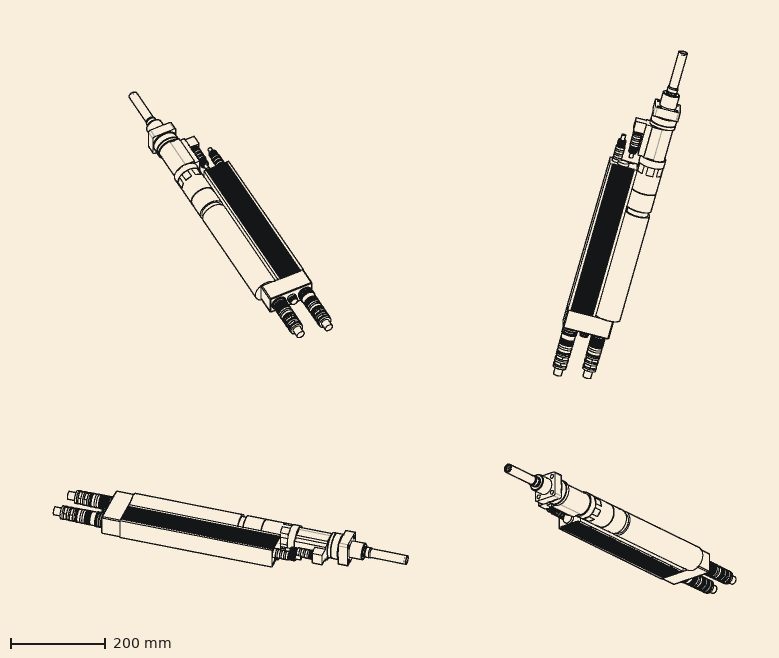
import cadquery as cq
import math


SHAFT_END = 79.0
SHAFT_RING_END = 82.0
SHAFT_COLLAR_END = 90.0
SHAFT_SEAL_END = 91.5
SHAFT_STOP_END = 94.5
FLANGE_START = 123.5
FLANGE_END = 144.0
FRONT_RING_END = 168.0
WAIST_END = 241.5
REAR_RING_END = 257.5
GEARBOX_END = 359.0
NECK_END = 370.0
MOTOR_END = 610.0

SHAFT_DIA = 19.0
SHAFT_RING_DIA = 20.5
SHAFT_COLLAR_DIA = 22.0
SHAFT_SEAL_DIA = 20.5
NOSE_DIA = 36.0
RING_DIA = 55.0
WAIST_DIA = 49.0
MOTOR_DIA = 54.0
NECK_DIA = 46.0
NOSE_CHAMFER = 1.5

SOCKET_SECTIONS = [(4.0, 14.0), (7.5, 5.5)]

SEAM_POSITIONS = [145.5, 161.0, 318.0]
SEAM_WIDTH = 1.0
SEAM_DEPTH = 1.0

FLANGE_SIDE = 55.0
FLANGE_CORNER_RADIUS = 4.5
BOLT_HOLE_DIA = 8.0
BOLT_HOLE_DEPTH = 15.0
BOLT_SPACING = 36.5

FLAT_COUNT = 7
FLAT_LENGTH = 18.0
FLAT_DEPTH = 1.1
FIRST_FLAT_ANGLE = 13.5

PLUG_BOSS_DIA = 20.0
SADDLE_GAP = 1.5
SADDLE_START = FRONT_RING_END + SADDLE_GAP
SADDLE_STEP_Y = 21.0
SADDLE_OUTER_Y = 34.0
SADDLE_LEDGE_Z = 17.5
PLUG_BLOCK_END = 193.5
PLUG_BLOCK_OUTER_Y = 57.0
PLUG_BLOCK_HEIGHT = 25.0
PLUG_BLOCK_CHAMFER = 2.0
SADDLE_PLUG_Y = 46.0
SADDLE_BOSS_SECTIONS = [(2.0, PLUG_BOSS_DIA), (2.0, 18.0), (2.0, PLUG_BOSS_DIA)]

HOUSING_START = 272.0
HOUSING_INNER_Y = MOTOR_DIA / 2
HOUSING_OUTER_Y = 87.5
HOUSING_TAPER = 1.5
HOUSING_HEIGHT = 44.0
GROOVE_COUNT = 16
GROOVE_PITCH = 3.0
GROOVE_WIDTH = 1.5
GROOVE_DEPTH = 3.0
FIRST_GROOVE_Y = 33.5
BOSS_LENGTH = 6.0
COVER_BOSS_DIA = 23.5
COVER_BOSS_Y = 58.0
COVER_BOSS_Z = -7.0
HOUSING_PLUG_Y = 72.0
HOUSING_PLUG_Z = 6.0

BLOCK_END = 651.0
BLOCK_INNER_Y = -13.0
BLOCK_HEIGHT = 44.0
BLOCK_EDGE_CHAMFER = 2.0
BLOCK_END_CHAMFER = 1.5
CAP_Y = 38.0
CAP_SECTIONS = [(4.5, 20.0), (2.0, 17.0), (3.0, 18.0), (3.0, 17.0)]


PLUG_DIA = 19.0
PLUG_GROOVE_DIA = 17.5
PLUG_RIB_COUNT = 3
PLUG_RIB_PITCH = 9.0
PLUG_RIB_LENGTH = 5.0
PLUG_NUT_DIA = 17.0
PLUG_NUT_GROOVE_DIA = 15.0
PLUG_NUT_RING_COUNT = 4
PLUG_NUT_RING_PITCH = 4.0
PLUG_CABLE_DIA = 8.0
PLUG_CABLE_LENGTH = 11.5

CONNECTOR_DIA = 30.0
CONNECTOR_GROOVE_DIA = 28.0
CONNECTOR_HEX = 26.0
CONNECTOR_CABLE_DIA = 17.5
KNURL_RING_LENGTH = 1.5
SLEEVE_SECTIONS = [(5.0, 29.0), (4.5, 30.0), (7.0, 29.0), (1.5, 28.0), (1.5, 30.0), (3.0, 28.0), (4.0, 29.0)]
HEX_COUNT = 2
HEX_LENGTH = 6.0
HEX_TURN = 30
RING_SECTIONS = [(3.0, 29.0), (4.5, 28.0)]

SHORT_CONNECTOR_Y = 7.5
SHORT_CONNECTOR_END = 751.0
SHORT_BASE = [(3.0, 33.0), (4.0, 30.0)]
SHORT_KNURL_COUNT = 7

LONG_CONNECTOR_Y = 69.0
LONG_CONNECTOR_END = 762.0
LONG_BASE = [(3.0, 30.0), (4.0, 32.0), (1.5, 30.0), (4.0, 32.0), (1.5, 30.0), (2.0, 32.0), (11.5, 30.0)]
LONG_KNURL_COUNT = 4


def turned(start, sections, y=0, z=0, direction=1):
    """Stack of (length, diameter) cylinders along X from a starting X."""
    outline = [(start, 0)]
    x = start
    for length, diameter in sections:
        outline.append((x, diameter / 2))
        x += direction * length
        outline.append((x, diameter / 2))
    outline.append((x, 0))
    profile = cq.Workplane("XY").polyline(outline).close()
    return profile.revolve(360, (0, 0, 0), (1, 0, 0)).translate((0, y, z))


def span_box(x_span, y_span, z_span):
    """Box between two limits on each axis."""
    size = [high - low for low, high in (x_span, y_span, z_span)]
    corner = (x_span[0], y_span[0], z_span[0])
    return cq.Workplane("XY").box(*size, centered=False).translate(corner)


def total_length(sections):
    """Length of a stack of (length, diameter) cylinders."""
    return sum(length for length, diameter in sections)


def driver_core():
    """All turned sections of the driver, with the output socket and seams."""
    stations = [
        (SHAFT_END, SHAFT_DIA),
        (SHAFT_RING_END, SHAFT_RING_DIA),
        (SHAFT_COLLAR_END, SHAFT_COLLAR_DIA),
        (SHAFT_SEAL_END, SHAFT_SEAL_DIA),
        (SHAFT_STOP_END, SHAFT_COLLAR_DIA),
        (FLANGE_END, NOSE_DIA),
        (FRONT_RING_END, RING_DIA),
        (WAIST_END, WAIST_DIA),
        (REAR_RING_END, RING_DIA),
        (GEARBOX_END, MOTOR_DIA),
        (NECK_END, NECK_DIA),
        (MOTOR_END, MOTOR_DIA),
    ]
    starts = [0] + [end for end, diameter in stations]
    sections = [(end - start, diameter) for start, (end, diameter) in zip(starts, stations)]
    core = turned(0, sections)
    nose_rim = cq.selectors.BoxSelector(
        (SHAFT_STOP_END - SEAM_WIDTH, -NOSE_DIA, -NOSE_DIA),
        (SHAFT_STOP_END + SEAM_WIDTH, NOSE_DIA, NOSE_DIA),
        boundingbox=True,
    )
    core = core.edges(nose_rim).edges(cq.selectors.RadiusNthSelector(-1)).chamfer(NOSE_CHAMFER)
    core = core.cut(turned(0, SOCKET_SECTIONS))
    for x in SEAM_POSITIONS:
        outer = turned(x, [(SEAM_WIDTH, 2 * RING_DIA)])
        inner = turned(x, [(SEAM_WIDTH, MOTOR_DIA - 2 * SEAM_DEPTH)])
        core = core.cut(outer.cut(inner))
    return core


def flange():
    """Square flange with rounded corners and four bolt holes."""
    return (
        cq.Workplane("YZ", origin=(FLANGE_START, 0, 0))
        .rect(FLANGE_SIDE, FLANGE_SIDE)
        .extrude(FLANGE_END - FLANGE_START)
        .edges("|X")
        .fillet(FLANGE_CORNER_RADIUS)
        .faces("<X")
        .workplane(centerOption="CenterOfBoundBox")
        .rect(BOLT_SPACING, BOLT_SPACING, forConstruction=True)
        .vertices()
        .hole(BOLT_HOLE_DIA, BOLT_HOLE_DEPTH)
    )


def wrench_flats():
    """Material removed by the flats, evenly spaced round the gearbox."""
    radius = MOTOR_DIA / 2
    cutter = span_box(
        (REAR_RING_END, REAR_RING_END + FLAT_LENGTH),
        (-2 * radius, -radius + FLAT_DEPTH),
        (-radius, radius),
    )
    cutters = cq.Workplane("XY")
    for index in range(FLAT_COUNT):
        angle = FIRST_FLAT_ANGLE + index * 360 / FLAT_COUNT
        cutters = cutters.add(cutter.rotate((0, 0, 0), (1, 0, 0), -angle))
    return cutters.combine()


def saddle():
    """Stepped saddle on the +Y side of the waist, carrying the plug block."""
    x_span = (SADDLE_START, WAIST_END - SADDLE_GAP)
    top = WAIST_DIA / 2
    upper = span_box(x_span, (0, SADDLE_STEP_Y), (-top, top))
    outer = span_box(x_span, (0, SADDLE_OUTER_Y), (-SADDLE_LEDGE_Z, SADDLE_LEDGE_Z))
    block = span_box(
        (SADDLE_START, PLUG_BLOCK_END),
        (SADDLE_OUTER_Y, PLUG_BLOCK_OUTER_Y),
        (-PLUG_BLOCK_HEIGHT / 2, PLUG_BLOCK_HEIGHT / 2),
    )
    block = block.edges(">X and >Y").chamfer(PLUG_BLOCK_CHAMFER)
    boss = turned(PLUG_BLOCK_END, SADDLE_BOSS_SECTIONS, SADDLE_PLUG_Y)
    return upper.union(outer).union(block).union(boss)


def make_driver():
    return driver_core().union(flange()).union(saddle()).cut(wrench_flats())


def make_housing():
    """Finned housing, slightly narrower at its front end, with two bosses and grooves above and below."""
    half = HOUSING_HEIGHT / 2
    outline = [
        (HOUSING_START, HOUSING_INNER_Y),
        (MOTOR_END, HOUSING_INNER_Y),
        (MOTOR_END, HOUSING_OUTER_Y),
        (HOUSING_START, HOUSING_OUTER_Y - HOUSING_TAPER),
    ]
    housing = cq.Workplane("XY", origin=(0, 0, -half)).polyline(outline).close().extrude(HOUSING_HEIGHT)
    for index in range(GROOVE_COUNT):
        y = FIRST_GROOVE_Y + index * GROOVE_PITCH
        for low, high in ((half - GROOVE_DEPTH, half), (-half, GROOVE_DEPTH - half)):
            housing = housing.cut(span_box((HOUSING_START, MOTOR_END), (y, y + GROOVE_WIDTH), (low, high)))
    boss_start = HOUSING_START - BOSS_LENGTH
    plug_boss = turned(boss_start, [(BOSS_LENGTH, PLUG_BOSS_DIA)], HOUSING_PLUG_Y, HOUSING_PLUG_Z)
    cover_boss = turned(boss_start, [(BOSS_LENGTH, COVER_BOSS_DIA)], COVER_BOSS_Y, COVER_BOSS_Z)
    return housing.union(plug_boss).union(cover_boss)


def make_end_block():
    """Block closing the rear end, with a small screw cap between the connectors."""
    block = span_box(
        (MOTOR_END, BLOCK_END),
        (BLOCK_INNER_Y, HOUSING_OUTER_Y),
        (-BLOCK_HEIGHT / 2, BLOCK_HEIGHT / 2),
    )
    block = block.edges("|X").chamfer(BLOCK_EDGE_CHAMFER)
    block = block.faces(">X").chamfer(BLOCK_END_CHAMFER)
    return block.union(turned(BLOCK_END, CAP_SECTIONS, CAP_Y))


def make_plug(start, y, z, direction):
    """Ribbed cable plug pointing along +X or -X."""
    groove_length = PLUG_RIB_PITCH - PLUG_RIB_LENGTH
    sections = [(groove_length, PLUG_GROOVE_DIA), (PLUG_RIB_LENGTH, PLUG_DIA)] * PLUG_RIB_COUNT
    ring_length = PLUG_NUT_RING_PITCH / 2
    sections += [(ring_length, PLUG_NUT_DIA), (ring_length, PLUG_NUT_GROOVE_DIA)] * PLUG_NUT_RING_COUNT
    sections.append((PLUG_CABLE_LENGTH, PLUG_CABLE_DIA))
    return turned(start, sections, y, z, direction)


def hex_trim(start, y):
    """Material outside the hexagon, over one hexagon length."""
    ring = cq.Workplane("YZ", origin=(start, y, 0)).circle(CONNECTOR_DIA)
    across_corners = CONNECTOR_HEX / math.cos(math.pi / 6)
    hexagon = cq.Workplane("YZ", origin=(start, y, 0)).polygon(6, across_corners).extrude(HEX_LENGTH)
    hexagon = hexagon.rotate((0, y, 0), (1, y, 0), HEX_TURN)
    return ring.extrude(HEX_LENGTH).cut(hexagon)


def make_connector(y, end, base_sections, knurl_count):
    """Connector on the end block: base, knurled nut, grooved sleeve with hexagons, cable."""
    knurl = [(KNURL_RING_LENGTH, CONNECTOR_GROOVE_DIA), (KNURL_RING_LENGTH, CONNECTOR_DIA)]
    sections = base_sections + knurl * knurl_count + SLEEVE_SECTIONS
    hex_starts = []
    for index in range(HEX_COUNT):
        hex_starts.append(BLOCK_END + total_length(sections))
        sections = sections + [(HEX_LENGTH, CONNECTOR_DIA)] + RING_SECTIONS
    sections.append((end - BLOCK_END - total_length(sections), CONNECTOR_CABLE_DIA))
    connector = turned(BLOCK_END, sections, y)
    for start in hex_starts:
        connector = connector.cut(hex_trim(start, y))
    return connector


driver = make_driver()
housing = make_housing()
end_block = make_end_block()

plug_places = [
    (PLUG_BLOCK_END + total_length(SADDLE_BOSS_SECTIONS), SADDLE_PLUG_Y, 0, 1),
    (HOUSING_START - BOSS_LENGTH, HOUSING_PLUG_Y, HOUSING_PLUG_Z, -1),
]
plugs = [make_plug(*place) for place in plug_places]

connector_variants = [
    (SHORT_CONNECTOR_Y, SHORT_CONNECTOR_END, SHORT_BASE, SHORT_KNURL_COUNT),
    (LONG_CONNECTOR_Y, LONG_CONNECTOR_END, LONG_BASE, LONG_KNURL_COUNT),
]
connectors = [make_connector(*variant) for variant in connector_variants]

bodies = [driver, housing, end_block, *plugs, *connectors]
result = cq.Compound.makeCompound([body.solids().val() for body in bodies])